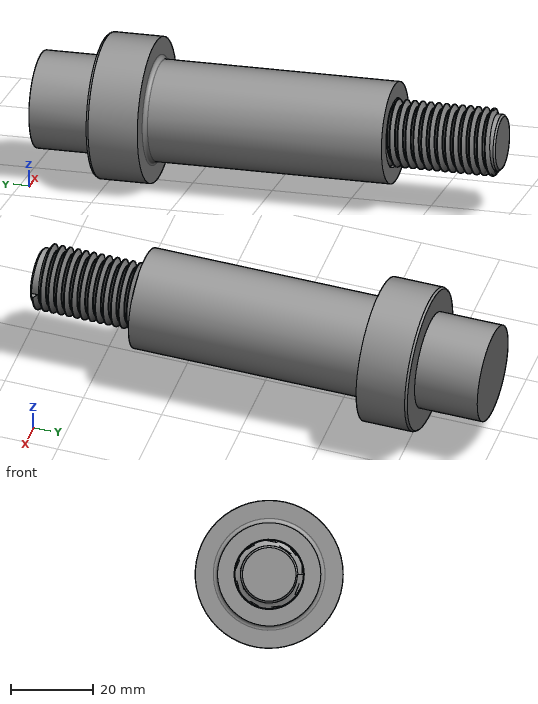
import cadquery as cq
import math


overall_length = 116.0

head_diameter = 24.0
head_height = 16.0
shank_diameter = 16.0
thread_crest_diameter = 16.6
thread_core_diameter = 13.9
thread_pitch = shank_diameter / 8
thread_crest_width = 0.2
thread_flank_angle = 30.0
thread_turns = 22
thread_end_gap = 1.2
tip_chamfer = 0.5
thread_root_overlap = 0.1

flange_diameter = 36.0
flange_width = 13.0
flange_chamfer_radial = 0.3
flange_chamfer_axial = 0.6
barrel_diameter = 25.0
barrel_length = 60.0
barrel_fillet = 1.0
bore_diameter = 17.0

screw_length = overall_length - head_height
sleeve_length = flange_width + barrel_length
thread_end = screw_length - thread_end_gap
thread_start = thread_end - thread_turns * thread_pitch


def cylinder(diameter, start, end):
    """Cylinder on the Y axis between two distances from the seat, counted toward the tip (-Y)."""
    return cq.Workplane("XZ", origin=(0, -start, 0)).circle(diameter / 2).extrude(end - start)


def make_thread_ridge():
    """Right-handed helical ridge on the Y axis, ending on the +X side near the tip."""
    root_radius = thread_core_diameter / 2 - thread_root_overlap
    crest_radius = thread_crest_diameter / 2
    half_crest = thread_crest_width / 2
    half_root = half_crest + (crest_radius - root_radius) * math.tan(math.radians(thread_flank_angle))

    helix = cq.Wire.makeHelix(thread_pitch, thread_turns * thread_pitch, root_radius)
    ridge = (
        cq.Workplane("XZ")
        .polyline([
            (root_radius, -half_root),
            (crest_radius, -half_crest),
            (crest_radius, half_crest),
            (root_radius, half_root),
        ])
        .close()
        .sweep(cq.Workplane(obj=helix), isFrenet=True)
    )
    return ridge.rotate((0, 0, 0), (1, 0, 0), 90).translate((0, -thread_start, 0))


def make_screw():
    """Cylindrical head, plain shank up to the thread, and a threaded end with a chamfered tip."""
    head = cylinder(head_diameter, -head_height, 0)
    plain_shank = cylinder(shank_diameter, 0, thread_start)
    core = cylinder(thread_core_diameter, 0, screw_length).faces("<Y").chamfer(tip_chamfer)
    return core.union(make_thread_ridge()).union(plain_shank).union(head)


def make_sleeve():
    """Flange and barrel with a clearance bore, revolved about the Y axis."""
    flange_radius = flange_diameter / 2
    barrel_radius = barrel_diameter / 2
    bore_radius = bore_diameter / 2
    fillet_end = flange_width + barrel_fillet
    fillet_centre = (barrel_radius + barrel_fillet, -fillet_end)
    fillet_middle = (
        fillet_centre[0] - barrel_fillet * math.sqrt(0.5),
        fillet_centre[1] + barrel_fillet * math.sqrt(0.5),
    )
    return (
        cq.Workplane("XY")
        .moveTo(bore_radius, 0)
        .lineTo(flange_radius - flange_chamfer_radial, 0)
        .lineTo(flange_radius, -flange_chamfer_axial)
        .lineTo(flange_radius, -flange_width)
        .lineTo(barrel_radius + barrel_fillet, -flange_width)
        .threePointArc(fillet_middle, (barrel_radius, -fillet_end))
        .lineTo(barrel_radius, -sleeve_length)
        .lineTo(bore_radius, -sleeve_length)
        .close()
        .revolve(360, (0, 0, 0), (0, 1, 0))
    )


screw = make_screw()
sleeve = make_sleeve()

result = cq.Compound.makeCompound([screw.solids().val(), sleeve.solids().val()])